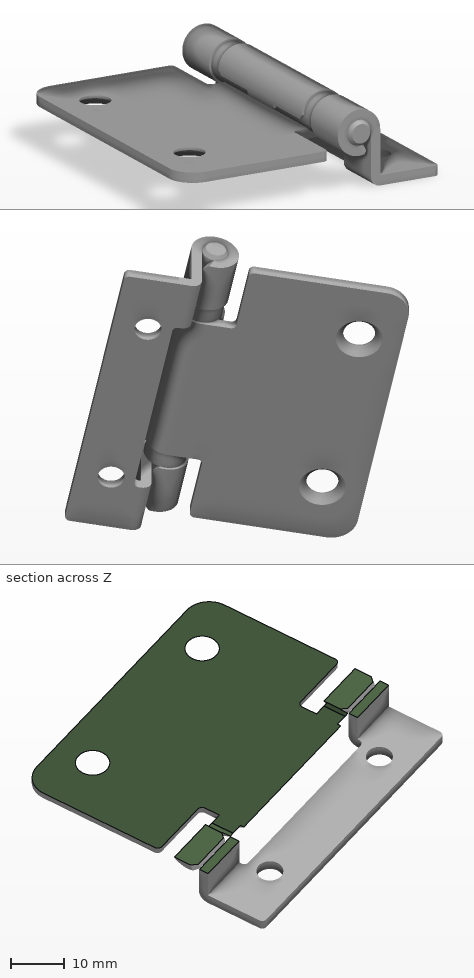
import cadquery as cq
import math

sheet = 2.0
barrel_radius = 4.5
bore_radius = barrel_radius - sheet
leaf_width = 59.4
leaf_half = leaf_width / 2
small_round = 1.0
tip_corner_cut = 1.0
hole_spacing = 36.0

back_angle = 0
top_angle = 90
underside_angle = -90

lower_back = 17.0
lower_bottom = -11.0
slot_depth = 5.9
slot_half = 19.4
lower_hole_y = 10.45
lower_hole_diameter = 5.0
lower_tip_angle = 297

plate_bottom = -barrel_radius
plate_front = -37.45
plate_back = -6.5
plate_corner_round = 5.0
knuckle_half = 16.0
knuckle_tip_angle = 190
tab_half = 5.05
tab_tip_angle = 206
tab_corner_cut = 0.5
tube_radius = 4.0
tube_half = 18.5
upper_hole_y = -29.45
upper_hole_diameter = 6.0
countersink_diameter = 8.65
countersink_depth = 1.45

pin_end = 30.5
pin_end_radius = 1.9


def ring_point(radius, angle):
    """Point (Y, Z) on a circle around the hinge axis."""
    return (radius * math.cos(math.radians(angle)), radius * math.sin(math.radians(angle)))


def cylinder(radius, half_length):
    """Cylinder on the hinge axis, centred on the middle of the hinge."""
    return cq.Workplane("YZ", origin=(-half_length, 0, 0)).circle(radius).extrude(2 * half_length)


def curl(start_angle, tip_angle, x_start, x_end, corner_cut):
    """Strip of sheet curled around the bore, with the two corners of its tip chamfered."""
    middle_angle = (start_angle + tip_angle) / 2
    strip = (
        cq.Workplane("YZ", origin=(x_start, 0, 0))
        .moveTo(*ring_point(barrel_radius, start_angle))
        .threePointArc(ring_point(barrel_radius, middle_angle), ring_point(barrel_radius, tip_angle))
        .lineTo(*ring_point(bore_radius, tip_angle))
        .threePointArc(ring_point(bore_radius, middle_angle), ring_point(bore_radius, start_angle))
        .close()
        .extrude(x_end - x_start)
    )
    tip_y, tip_z = ring_point((barrel_radius + bore_radius) / 2, tip_angle)
    tip_centre = ((x_start + x_end) / 2, tip_y, tip_z)
    tip_face = strip.faces(cq.selectors.NearestToPointSelector(tip_centre))
    return tip_face.edges("#X").chamfer(corner_cut)


def hole_cutters(hole_radius, mouth_radius, mouth_depth, y, z):
    """Pair of hole shapes through one sheet thickness, widening to a mouth at the lower face."""
    profile = (
        cq.Workplane("XZ")
        .lineTo(mouth_radius, 0)
        .lineTo(hole_radius, mouth_depth)
        .lineTo(hole_radius, sheet)
        .lineTo(0, sheet)
        .close()
    )
    hole = profile.revolve(360, (0, 0, 0), (0, 1, 0)).translate((0, y, z))
    left_hole = hole.translate((-hole_spacing / 2, 0, 0))
    right_hole = hole.translate((hole_spacing / 2, 0, 0))
    return left_hole.union(right_hole)


def make_lower_leaf():
    inner_floor = lower_bottom + sheet
    leaf = (
        cq.Workplane("YZ", origin=(-leaf_half, 0, 0))
        .moveTo(lower_back, lower_bottom)
        .lineTo(barrel_radius, lower_bottom)
        .tangentArcPoint((bore_radius, inner_floor), relative=False)
        .lineTo(bore_radius, 0)
        .lineTo(barrel_radius, 0)
        .lineTo(barrel_radius, inner_floor)
        .lineTo(lower_back, inner_floor)
        .close()
        .extrude(leaf_width)
    )
    leaf = leaf.edges("|Z and >Y").fillet(small_round)

    slot = (
        cq.Workplane("XY", origin=(0, slot_depth / 2, lower_bottom))
        .rect(2 * slot_half, slot_depth)
        .extrude(-lower_bottom)
        .edges("|Z and >Y")
        .fillet(small_round)
    )
    leaf = leaf.cut(slot)

    hole_radius = lower_hole_diameter / 2
    leaf = leaf.cut(hole_cutters(hole_radius, hole_radius, sheet / 2, lower_hole_y, lower_bottom))

    for x_start, x_end in ((-leaf_half, -slot_half), (slot_half, leaf_half)):
        leaf = leaf.union(curl(back_angle, lower_tip_angle, x_start, x_end, tip_corner_cut))
    return leaf


def make_upper_leaf():
    plate = (
        cq.Workplane("XY", origin=(0, (plate_front + plate_back) / 2, plate_bottom))
        .rect(leaf_width, plate_back - plate_front)
        .extrude(sheet)
    )
    plate = plate.edges("|Z and <Y").fillet(plate_corner_round)
    plate = plate.edges("|Z and >Y").fillet(small_round)
    neck = (
        cq.Workplane("XY", origin=(0, plate_back / 2, plate_bottom))
        .rect(2 * knuckle_half, -plate_back)
        .extrude(sheet)
    )
    leaf = plate.union(neck)
    for corner_x in (-knuckle_half, knuckle_half):
        inner_corner = (corner_x, plate_back, plate_bottom + sheet / 2)
        leaf = leaf.edges(cq.selectors.NearestToPointSelector(inner_corner)).fillet(small_round)

    holes = hole_cutters(
        upper_hole_diameter / 2, countersink_diameter / 2, countersink_depth, upper_hole_y, plate_bottom
    )
    leaf = leaf.cut(holes)

    knuckle = curl(underside_angle, knuckle_tip_angle, -knuckle_half, knuckle_half, tip_corner_cut)
    tab = curl(top_angle, tab_tip_angle, -tab_half, tab_half, tab_corner_cut)
    leaf = leaf.union(cylinder(tube_radius, tube_half)).union(knuckle).union(tab)
    return leaf.cut(cylinder(bore_radius, tube_half))


def make_pin(side):
    """Pin from the middle of the tube to its tapered end, on the -X (-1) or +X (1) side."""
    profile = (
        cq.Workplane("XY")
        .lineTo(0, bore_radius)
        .lineTo(side * tube_half, bore_radius)
        .lineTo(side * tube_half, tube_radius)
        .lineTo(side * slot_half, tube_radius)
        .lineTo(side * slot_half, bore_radius)
        .lineTo(side * leaf_half, bore_radius)
        .lineTo(side * pin_end, pin_end_radius)
        .lineTo(side * pin_end, 0)
        .close()
    )
    return profile.revolve(360, (0, 0, 0), (1, 0, 0))


lower_leaf = make_lower_leaf()
upper_leaf = make_upper_leaf()
pins = [make_pin(side).val() for side in (-1, 1)]

result = cq.Compound.makeCompound([lower_leaf.val(), upper_leaf.val(), *pins])